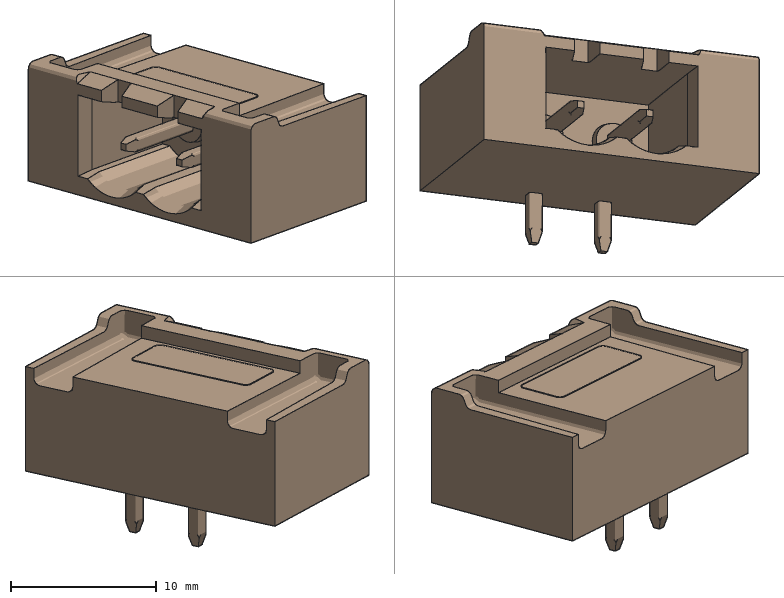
import cadquery as cq
import math

WIDTH = 20.27
DEPTH = 12.0
HEIGHT = 8.55
DECK_HEIGHT = 7.65
FRONT_ROUND = 0.5

BAND_DEPTH = 3.0
CENTRE_HALF_WIDTH = 7.1
SIDE_STEP_FRONT = 2.31
SIDE_STEP_RADIUS = 0.5
SIDE_STEP_ANGLE = math.radians(67)
ARC_RUN = SIDE_STEP_RADIUS * math.sin(SIDE_STEP_ANGLE)
ARC_DROP = SIDE_STEP_RADIUS * (1 - math.cos(SIDE_STEP_ANGLE))
MID_ARC_RUN = SIDE_STEP_RADIUS * math.sin(SIDE_STEP_ANGLE / 2)
MID_ARC_DROP = SIDE_STEP_RADIUS * (1 - math.cos(SIDE_STEP_ANGLE / 2))
FLAT_RUN = (HEIGHT - DECK_HEIGHT - 2 * ARC_DROP) / math.tan(SIDE_STEP_ANGLE)
SIDE_STEP_BACK = SIDE_STEP_FRONT + 2 * ARC_RUN + FLAT_RUN

GROOVE_FLOOR = 6.47
GROOVE_FRONT = 1.0
GROOVE_FRONT_X = (6.49, 9.22)
GROOVE_BACK_X = (6.28, 9.45)
GROOVE_CORNER_ROUND = 0.36
GROOVE_FLOOR_ROUND = 0.49

PLATE_SIZE = (9.57, 3.6)
PLATE_CENTRE_Y = 5.3
PLATE_ROUND = 0.43
PLATE_THICKNESS = 0.06

PITCH = 5.09
PIN_SIZE = 1.0
PIN_EDGE_ROUND = 0.2
TIP_SIZE = 0.49
TIP_LENGTH = 0.95
TAIL_LENGTH = 3.5
PIN_AXIS_Z = 3.83
PIN_AXIS_Y = 10.0
CONTACT_FRONT = 1.24
PIN_XS = [-PITCH / 2, PITCH / 2]

CAVITY_DEPTH = 8.4
CAVITY_HALF_WIDTH = 5.25
CAVITY_FLOOR = 1.65
CAVITY_CEILING = 6.95
SCALLOP_RADIUS = 3.0
MOUTH_DEPTH = 1.05
MOUTH_HALF_WIDTH = 5.6
MOUTH_FLOOR = 1.35
MOUTH_CEILING = 7.22
MOUTH_SCALLOP_RADIUS = 3.3

COLLAR_BASE_RADIUS = 1.42
COLLAR_END_RADIUS = 1.32
COLLAR_LENGTH = 0.5

SLOPE_HALF_WIDTH = 5.65
SLOPE_DEPTH = 1.34
SLOPE_DROP = 0.53
SLOPE_END_ANGLE = 35.0
SLOT_FRONT_HALF_WIDTH = 0.93
SLOT_BACK_HALF_WIDTH = 0.59


def make_block():
    """Housing block whose side profile has a round front edge and an S-shaped step."""
    round_inset = FRONT_ROUND * (1 - math.sqrt(0.5))
    return (
        cq.Workplane("YZ")
        .workplane(offset=-WIDTH / 2)
        .moveTo(0, 0)
        .lineTo(0, HEIGHT - FRONT_ROUND)
        .threePointArc((round_inset, HEIGHT - round_inset), (FRONT_ROUND, HEIGHT))
        .lineTo(SIDE_STEP_FRONT, HEIGHT)
        .threePointArc(
            (SIDE_STEP_FRONT + MID_ARC_RUN, HEIGHT - MID_ARC_DROP),
            (SIDE_STEP_FRONT + ARC_RUN, HEIGHT - ARC_DROP),
        )
        .lineTo(SIDE_STEP_BACK - ARC_RUN, DECK_HEIGHT + ARC_DROP)
        .threePointArc(
            (SIDE_STEP_BACK - MID_ARC_RUN, DECK_HEIGHT + MID_ARC_DROP),
            (SIDE_STEP_BACK, DECK_HEIGHT),
        )
        .lineTo(DEPTH, DECK_HEIGHT)
        .lineTo(DEPTH, 0)
        .close()
        .extrude(WIDTH)
    )


def make_deck_block(front, back):
    """Block on the deck across the middle of the housing, as tall as the front band."""
    return (
        cq.Workplane("XY")
        .box(2 * CENTRE_HALF_WIDTH, back - front, HEIGHT - DECK_HEIGHT, centered=(True, False, False))
        .translate((0, front, DECK_HEIGHT))
    )


def square_off_step(block):
    """Turns the S-shaped step into a square one between the grooves."""
    filled = block.union(make_deck_block(SIDE_STEP_FRONT, BAND_DEPTH))
    return filled.cut(make_deck_block(BAND_DEPTH, SIDE_STEP_BACK))


def make_groove(side):
    """Tapered deck groove, open at the back; side is -1 for left and 1 for right."""
    outline = [
        (side * GROOVE_FRONT_X[0], GROOVE_FRONT),
        (side * GROOVE_FRONT_X[1], GROOVE_FRONT),
        (side * GROOVE_BACK_X[1], DEPTH),
        (side * GROOVE_BACK_X[0], DEPTH),
    ]
    groove = (
        cq.Workplane("XY")
        .workplane(offset=GROOVE_FLOOR)
        .polyline(outline)
        .close()
        .extrude(HEIGHT - GROOVE_FLOOR)
    )
    groove = groove.faces("<Y").edges("|Z").fillet(GROOVE_CORNER_ROUND)
    return groove.faces("<Z").edges("not >Y").fillet(GROOVE_FLOOR_ROUND)


def make_label_plate():
    """Thin raised plate with rounded corners on the deck."""
    return (
        cq.Workplane("XY")
        .workplane(offset=DECK_HEIGHT)
        .center(0, PLATE_CENTRE_Y)
        .rect(*PLATE_SIZE)
        .extrude(PLATE_THICKNESS)
        .edges("|Z")
        .fillet(PLATE_ROUND)
    )


def cavity_outline(y, half_width, floor, ceiling, scallop_radius):
    """Rectangle at depth y whose floor dips in an arc concentric with each contact."""
    half_chord = math.sqrt(scallop_radius**2 - (PIN_AXIS_Z - floor) ** 2)
    outline = cq.Workplane("XZ", origin=(0, y, 0)).moveTo(-half_width, ceiling).lineTo(-half_width, floor)
    for x in PIN_XS:
        outline = outline.lineTo(x - half_chord, floor)
        outline = outline.threePointArc((x, PIN_AXIS_Z - scallop_radius), (x + half_chord, floor))
    outline = outline.lineTo(half_width, floor).lineTo(half_width, ceiling)
    return outline.close()


def make_cavity():
    """Plug cavity: a straight stretch behind a flared mouth."""
    inner = (CAVITY_HALF_WIDTH, CAVITY_FLOOR, CAVITY_CEILING, SCALLOP_RADIUS)
    outer = (MOUTH_HALF_WIDTH, MOUTH_FLOOR, MOUTH_CEILING, MOUTH_SCALLOP_RADIUS)
    straight = cavity_outline(CAVITY_DEPTH, *inner).extrude(CAVITY_DEPTH - MOUTH_DEPTH)
    front_wire = cavity_outline(0, *outer).val()
    inner_wire = cavity_outline(MOUTH_DEPTH, *inner).val()
    mouth = cq.Solid.makeLoft([front_wire, inner_wire], True)
    return straight.union(cq.Workplane(obj=mouth))


def make_collar(x):
    """Tapered collar standing forward from the cavity's rear wall."""
    return cq.Workplane(
        obj=cq.Solid.makeCone(
            COLLAR_BASE_RADIUS,
            COLLAR_END_RADIUS,
            COLLAR_LENGTH,
            cq.Vector(x, CAVITY_DEPTH, PIN_AXIS_Z),
            cq.Vector(0, -1, 0),
        )
    )


def make_slope():
    """Wedge above the mouth: an inclined floor whose end walls lean outward."""
    incline_length = math.hypot(SLOPE_DEPTH, SLOPE_DROP)
    incline = cq.Plane(
        origin=(0, SLOPE_DEPTH / 2, HEIGHT - SLOPE_DROP / 2),
        xDir=(1, 0, 0),
        normal=(0, -SLOPE_DROP, SLOPE_DEPTH),
    )
    return (
        cq.Workplane(incline)
        .rect(2 * SLOPE_HALF_WIDTH, incline_length)
        .extrude(SLOPE_DROP, taper=-SLOPE_END_ANGLE)
    )


def make_slot(x):
    """Coding slot through the wall above the mouth, narrowing toward the back."""
    outline = [
        (x - SLOT_FRONT_HALF_WIDTH, 0),
        (x + SLOT_FRONT_HALF_WIDTH, 0),
        (x + SLOT_BACK_HALF_WIDTH, SLOPE_DEPTH),
        (x - SLOT_BACK_HALF_WIDTH, SLOPE_DEPTH),
    ]
    slot = cq.Workplane("XY").workplane(offset=CAVITY_CEILING).polyline(outline).close()
    return slot.extrude(HEIGHT - CAVITY_CEILING)


def make_pointed_bar(length):
    """Square bar with rounded long edges standing on its tapered tip at the origin."""
    bar = cq.Workplane("XY").rect(PIN_SIZE, PIN_SIZE).extrude(length).edges("|Z").fillet(PIN_EDGE_ROUND)
    point = (
        cq.Workplane("XY")
        .rect(TIP_SIZE, TIP_SIZE)
        .workplane(offset=TIP_LENGTH)
        .rect(PIN_SIZE, PIN_SIZE)
        .loft(ruled=True)
    )
    shank = (
        cq.Workplane("XY").workplane(offset=TIP_LENGTH).rect(PIN_SIZE, PIN_SIZE).extrude(length - TIP_LENGTH)
    )
    return bar.intersect(point.union(shank))


def make_pin(x):
    """Right-angle pin: a contact facing forward joined to a tail pointing down."""
    tail = make_pointed_bar(TAIL_LENGTH + PIN_AXIS_Z + PIN_SIZE / 2)
    tail = tail.translate((x, PIN_AXIS_Y, -TAIL_LENGTH))
    contact = make_pointed_bar(PIN_AXIS_Y - CONTACT_FRONT + PIN_SIZE / 2)
    contact = contact.rotate((0, 0, 0), (1, 0, 0), -90).translate((x, CONTACT_FRONT, PIN_AXIS_Z))
    return contact.union(tail)


def make_housing(pins):
    """Housing with every cut made, and a matching hole for each pin."""
    housing = square_off_step(make_block())
    for side in (-1, 1):
        housing = housing.cut(make_groove(side))
    housing = housing.union(make_label_plate()).cut(make_cavity()).cut(make_slope())
    for x, pin in zip(PIN_XS, pins):
        housing = housing.cut(make_slot(x)).union(make_collar(x)).cut(pin)
    return housing


pins = [make_pin(x) for x in PIN_XS]
housing = make_housing(pins)

result = cq.Compound.makeCompound([housing.val(), *[pin.val() for pin in pins]])